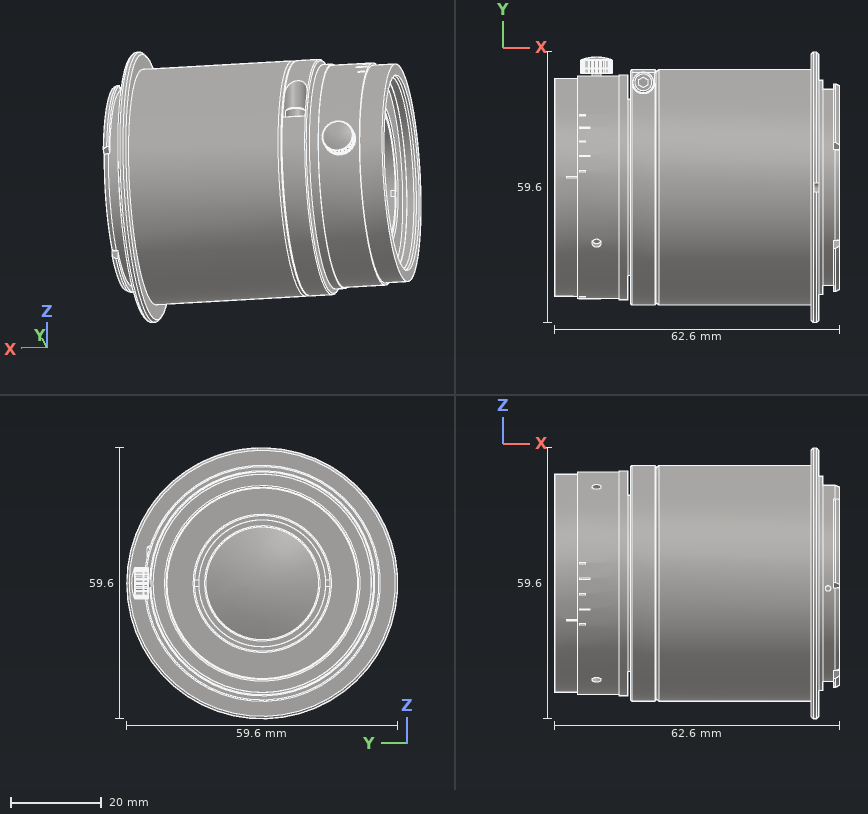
import cadquery as cq
import math


total_length = 62.62
flange_radius = 29.8

name_ring_radius = 24.0
name_ring_end = 5.0
aperture_ring_radius = 24.5
grip_start = 14.15
grip_radius = 24.75
grip_end = 16.1
neck_radius = 19.4

barrel_radius = 25.95
band_start = 16.65
band_end = 22.3
band_chamfer = 0.3
groove_radius = 25.4
barrel_start = 22.9

flange_start = 56.3
flange_end = 58.1
flange_chamfer = 0.55
seat_radius = 23.6
seat_end = 58.95
mount_radius = 43.2 / 2
mount_chamfer_start = 61.6
mount_chamfer_drop = 0.4
lug_start = 61.3
lug_radius = 22.9
lug_chamfer_length = 0.85
lug_chamfer_drop = 0.45
lug_end_slope = 3.0
lug_crests = [(5.8, 64.4), (125.8, 179.6), (245.8, 299.6)]
notch_width = 2.0
notch_start = 56.95
notch_depth = 1.2
pin_hole_diameter = 1.2
pin_hole_depth = 0.5
pin_hole_x = 60.1
pin_hole_angle = 183.0

filter_bore_radius = 21.5
filter_bore_depth = 0.6
recess_wall_radius = 21.15
recess_floor_radius = 20.95
recess_shoulder_depth = 1.1
recess_step_depth = 2.65
recess_depth = 3.55
retainer_face_depth = 3.95
retainer_gap_floor = 4.2
retainer_gap_radius = 15.2
retainer_radius = 14.9
retainer_bore_radius = 13.95
lens_seat_depth = 6.3
lens_seat_radius = 25.36 / 2
lens_radius = 24.8 / 2
lens_edge_depth = 7.2
lens_sag = 2.6
spanner_slot_width = 1.4
spanner_slot_depth = 1.0

adjusting_x = 9.2
adjusting_hole_diameter = 2.0
adjusting_hole_depth = 1.5
adjusting_hole_angles = [120, 240]
knob_radius = 3.5
knob_bottom = 25.0
knob_top = 28.1
knob_dome_height = 0.6
knob_rim_chamfer = 0.2
knob_stem_radius = 2.05 / 2
knob_groove_height = 26.05
knob_groove_size = 0.2
knurl_count = 24
knurl_size = 0.45

clamp_x = (band_start + band_end) / 2
clamp_y = 23.1
clamp_floor = 6.0
pocket_width = 5.0
clamp_head_diameter = 4.5
clamp_head_height = 2.2
clamp_head_chamfer = 0.4
socket_across_flats = 2.0
socket_depth = 1.0

mark_width = 0.3
mark_depth = 0.1
scale_start = 5.4
short_mark_length = 1.4
long_mark_length = 2.4
scale_step = 8.0
scale_first_angles = [49.6, 169.6]
scale_mark_lengths = [short_mark_length, long_mark_length] * 2 + [short_mark_length]
index_start = 2.6
index_angles = [84.6, 199.7]


def around_axis(shape, angle):
    """Turn a shape about the optical axis by the given angle in degrees."""
    return shape.rotate((0, 0, 0), (1, 0, 0), angle)


def make_body():
    """Revolve the half section of the lens barrel, mount and front recess."""
    flange_shoulder = flange_radius - flange_chamfer
    section = (
        cq.Workplane("XY")
        .moveTo(total_length, 0)
        .lineTo(total_length, mount_radius - mount_chamfer_drop)
        .lineTo(mount_chamfer_start, mount_radius)
        .lineTo(seat_end, mount_radius)
        .lineTo(seat_end, seat_radius)
        .lineTo(flange_end, seat_radius)
        .lineTo(flange_end, flange_shoulder)
        .lineTo(flange_end - flange_chamfer, flange_radius)
        .lineTo(flange_start + flange_chamfer, flange_radius)
        .lineTo(flange_start, flange_shoulder)
        .lineTo(flange_start, barrel_radius)
        .lineTo(barrel_start, barrel_radius)
        .lineTo(band_end, groove_radius)
        .lineTo(band_end, barrel_radius - band_chamfer)
        .lineTo(band_end - band_chamfer, barrel_radius)
        .lineTo(band_start + band_chamfer, barrel_radius)
        .lineTo(band_start, barrel_radius - band_chamfer)
        .lineTo(band_start, neck_radius)
        .lineTo(grip_end, neck_radius)
        .lineTo(grip_end, grip_radius)
        .lineTo(grip_start, grip_radius)
        .lineTo(grip_start, aperture_ring_radius)
        .lineTo(name_ring_end, aperture_ring_radius)
        .lineTo(name_ring_end, name_ring_radius)
        .lineTo(0, name_ring_radius)
        .lineTo(0, filter_bore_radius)
        .lineTo(filter_bore_depth, filter_bore_radius)
        .lineTo(recess_shoulder_depth, recess_wall_radius)
        .lineTo(recess_step_depth, recess_wall_radius)
        .lineTo(recess_step_depth, recess_floor_radius)
        .lineTo(recess_depth, recess_floor_radius)
        .lineTo(recess_depth, retainer_gap_radius)
        .lineTo(retainer_gap_floor, retainer_gap_radius)
        .lineTo(retainer_gap_floor, retainer_radius)
        .lineTo(retainer_face_depth, retainer_radius)
        .lineTo(retainer_face_depth, retainer_bore_radius)
        .lineTo(lens_seat_depth, retainer_bore_radius)
        .lineTo(lens_seat_depth, lens_seat_radius)
        .lineTo(lens_edge_depth, lens_radius)
    )
    sphere_radius = (lens_radius**2 + lens_sag**2) / (2 * lens_sag)
    half_angle = math.asin(lens_radius / sphere_radius) / 2
    lens_apex = lens_edge_depth - lens_sag
    lens_middle = (
        lens_apex + sphere_radius * (1 - math.cos(half_angle)),
        sphere_radius * math.sin(half_angle),
    )
    section = section.threePointArc(lens_middle, (lens_apex, 0)).close()
    return section.revolve(360, (0, 0, 0), (1, 0, 0))


def make_lug(start_angle, end_angle):
    """One bayonet lug, with sloped ends and a chamfered rear edge."""
    def point(radius, angle):
        return (radius * math.cos(math.radians(angle)), radius * math.sin(math.radians(angle)))

    middle = (start_angle + end_angle) / 2
    core_radius = mount_radius - 2 * mount_chamfer_drop
    length = total_length - lug_start
    sector = (
        cq.Workplane("YZ", origin=(lug_start, 0, 0))
        .moveTo(*point(core_radius, start_angle - lug_end_slope))
        .lineTo(*point(mount_radius, start_angle - lug_end_slope))
        .lineTo(*point(lug_radius, start_angle))
        .threePointArc(point(lug_radius, middle), point(lug_radius, end_angle))
        .lineTo(*point(mount_radius, end_angle + lug_end_slope))
        .lineTo(*point(core_radius, end_angle + lug_end_slope))
        .threePointArc(point(core_radius, middle), point(core_radius, start_angle - lug_end_slope))
        .close()
        .extrude(length)
    )
    chamfered_disc = (
        cq.Workplane("YZ", origin=(lug_start, 0, 0))
        .circle(lug_radius)
        .extrude(length)
        .faces(">X")
        .chamfer(lug_chamfer_length, lug_chamfer_drop)
    )
    return sector.intersect(chamfered_disc)


def make_radial_hole(x, angle, surface_radius, diameter, depth):
    """Cutter for a blind hole running inwards from a surface of the given radius."""
    overshoot = 1.0
    cutter = (
        cq.Workplane("XZ", origin=(x, surface_radius + overshoot, 0))
        .circle(diameter / 2)
        .extrude(depth + overshoot)
    )
    return around_axis(cutter, angle)


def make_mark(start, length, angle, surface_radius):
    """Cutter for one engraved line along X."""
    box = cq.Workplane("XY").box(length, 2 * mark_depth, mark_width)
    return around_axis(box.translate((start + length / 2, surface_radius, 0)), angle)


def make_flange_notch():
    """Cutter for the round-bottomed notch in the rear of the flange, at +Z."""
    radius = notch_width / 2
    bottom = flange_radius - notch_depth
    return (
        cq.Workplane("YZ", origin=(notch_start, 0, 0))
        .moveTo(-radius, flange_radius + radius)
        .lineTo(-radius, bottom + radius)
        .threePointArc((0, bottom), (radius, bottom + radius))
        .lineTo(radius, flange_radius + radius)
        .close()
        .extrude(flange_end - notch_start)
    )


def make_spanner_slots():
    """Cutter for the two slots across the lens retaining ring, on the Y axis."""
    width = retainer_radius - retainer_bore_radius
    middle = (retainer_radius + retainer_bore_radius) / 2
    slot = cq.Workplane("XY").box(2 * spanner_slot_depth, width, spanner_slot_width)
    slot = slot.translate((retainer_face_depth, middle, 0))
    return slot.union(around_axis(slot, 180))


def make_knob():
    """Knurled thumb screw standing out of the aperture ring along +Y."""
    stem_foot = aperture_ring_radius - adjusting_hole_depth
    groove_top = knob_groove_height + knob_groove_size
    rim_radius = knob_radius - knob_rim_chamfer
    dome_radius = (rim_radius**2 + knob_dome_height**2) / (2 * knob_dome_height)
    half_angle = math.asin(rim_radius / dome_radius) / 2
    dome_top = knob_top + knob_dome_height
    dome_middle = (
        dome_radius * math.sin(half_angle),
        dome_top - dome_radius * (1 - math.cos(half_angle)),
    )
    knob = (
        cq.Workplane("XY")
        .moveTo(0, stem_foot)
        .lineTo(knob_stem_radius, stem_foot)
        .lineTo(knob_stem_radius, knob_bottom)
        .lineTo(rim_radius, knob_bottom)
        .lineTo(knob_radius, knob_bottom + knob_rim_chamfer)
        .lineTo(knob_radius, knob_groove_height)
        .lineTo(knob_radius - knob_groove_size, knob_groove_height)
        .lineTo(knob_radius - knob_groove_size, groove_top)
        .lineTo(knob_radius, groove_top)
        .lineTo(knob_radius, knob_top - knob_rim_chamfer)
        .lineTo(rim_radius, knob_top)
        .threePointArc(dome_middle, (0, dome_top))
        .close()
        .revolve(360, (0, 0, 0), (0, 1, 0))
    )
    knurls = (
        cq.Workplane("XZ", origin=(0, knob_bottom, 0))
        .polarArray(knob_radius, 0, 360, knurl_count)
        .polygon(4, knurl_size)
        .extrude(knob_bottom - knob_top)
    )
    return knob.cut(knurls).translate((adjusting_x, 0, 0))


def make_clamp_pocket():
    """Cutter for the flat-floored pocket around the clamp screw, open to +Y and +Z."""
    height = barrel_radius - clamp_floor
    workplane = cq.Workplane("XY", origin=(clamp_x, clamp_y, clamp_floor))
    bore = workplane.circle(pocket_width / 2).extrude(height)
    opening = workplane.rect(pocket_width, pocket_width).extrude(height)
    return bore.union(opening.translate((0, pocket_width / 2, 0)))


def make_clamp_screw():
    """Socket-head clamp screw sitting on the pocket floor."""
    socket_diameter = socket_across_flats / math.cos(math.pi / 6)
    head = (
        cq.Workplane("XY", origin=(clamp_x, clamp_y, clamp_floor))
        .circle(clamp_head_diameter / 2)
        .extrude(clamp_head_height)
        .faces(">Z")
        .chamfer(clamp_head_chamfer)
    )
    socket = (
        cq.Workplane("XY", origin=(clamp_x, clamp_y, clamp_floor + clamp_head_height))
        .transformed(rotate=(0, 0, 90))
        .polygon(6, socket_diameter)
        .extrude(-socket_depth)
    )
    return head.cut(socket)


result = make_body()

for lug_crest in lug_crests:
    result = result.union(make_lug(*lug_crest))

result = result.cut(make_flange_notch())
result = result.cut(
    make_radial_hole(pin_hole_x, pin_hole_angle, mount_radius, pin_hole_diameter, pin_hole_depth)
)
result = result.cut(make_spanner_slots())

for hole_angle in adjusting_hole_angles:
    result = result.cut(
        make_radial_hole(
            adjusting_x,
            hole_angle,
            aperture_ring_radius,
            adjusting_hole_diameter,
            adjusting_hole_depth,
        )
    )

for first_angle in scale_first_angles:
    for step, mark_length in enumerate(scale_mark_lengths):
        mark_angle = first_angle + step * scale_step
        result = result.cut(make_mark(scale_start, mark_length, mark_angle, aperture_ring_radius))

for index_angle in index_angles:
    result = result.cut(
        make_mark(index_start, name_ring_end - index_start, index_angle, name_ring_radius)
    )

result = result.cut(make_clamp_pocket()).union(make_clamp_screw())
result = result.union(make_knob())